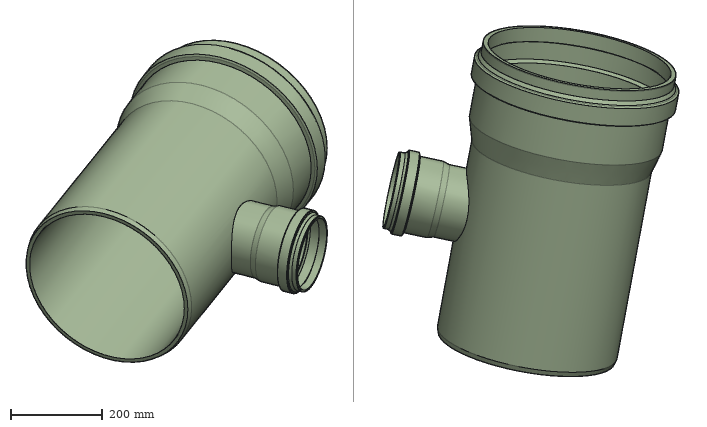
import cadquery as cq
import math

main_length = 670.0
overall_width = 585.0
pipe_diameter = 400.0
pipe_bore = 375.0
spigot_end_diameter = 392.5
spigot_chamfer_length = 11.5

branch_tilt = 2.5
branch_start_y = 286.0
branch_pipe_diameter = 163.0
branch_bore = 150.0

main_socket = {
    "diameter": 429.5,
    "bore": 407.0,
    "mouth_diameter": 429.0,
    "mouth_chamfer_length": 2.0,
    "collar_diameter": 455.0,
    "collar_rim_diameter": 445.5,
    "collar_rim_length": 3.0,
    "collar_shoulder_diameter": 439.5,
    "groove_diameter": 432.0,
    "lip_depth": 24.0,
    "shoulder_depth": 33.0,
    "collar_edge_depth": 37.5,
    "collar_back_depth": 78.0,
    "collar_end_depth": 82.5,
    "taper_start_depth": 173.0,
    "taper_end_depth": 225.0,
}
branch_socket = {
    "diameter": 171.5,
    "bore": 161.5,
    "mouth_diameter": 170.0,
    "mouth_chamfer_length": 2.0,
    "collar_diameter": 188.0,
    "collar_rim_diameter": 185.5,
    "collar_rim_length": 1.5,
    "collar_shoulder_diameter": 179.5,
    "groove_diameter": 179.5,
    "lip_depth": 12.0,
    "shoulder_depth": 18.0,
    "collar_edge_depth": 21.0,
    "collar_back_depth": 42.0,
    "collar_end_depth": 46.0,
    "taper_start_depth": 98.5,
    "taper_end_depth": 112.5,
}

tilt_angle = math.radians(branch_tilt)
branch_corner_x = overall_width - main_socket["collar_diameter"] / 2
mouth_overhang = branch_socket["mouth_diameter"] / 2 * math.sin(tilt_angle)
branch_length = (branch_corner_x - mouth_overhang) / math.cos(tilt_angle)


def revolve_about_y(stations, start_y, end_y):
    """Solid of revolution about Y from (diameter, y) stations listed from end_y down to start_y."""
    points = [(diameter / 2, y) for diameter, y in stations]
    profile = cq.Workplane("XY").polyline([(0, start_y), (0, end_y)] + points).close()
    return profile.revolve(360, (0, 0), (0, 1))


def socket_outside(socket, mouth_y, pipe_outer):
    """Stations of the outer surface, from the mouth to the straight pipe."""
    return [
        (socket["mouth_diameter"], mouth_y),
        (socket["diameter"], mouth_y - socket["mouth_chamfer_length"]),
        (socket["diameter"], mouth_y - socket["lip_depth"]),
        (socket["collar_shoulder_diameter"], mouth_y - socket["shoulder_depth"]),
        (socket["collar_rim_diameter"], mouth_y - socket["collar_edge_depth"] + socket["collar_rim_length"]),
        (socket["collar_diameter"], mouth_y - socket["collar_edge_depth"]),
        (socket["collar_diameter"], mouth_y - socket["collar_back_depth"]),
        (socket["collar_rim_diameter"], mouth_y - socket["collar_back_depth"] - socket["collar_rim_length"]),
        (socket["diameter"], mouth_y - socket["collar_end_depth"]),
        (socket["diameter"], mouth_y - socket["taper_start_depth"]),
        (pipe_outer, mouth_y - socket["taper_end_depth"]),
    ]


def socket_inside(socket, mouth_y, pipe_inner):
    """Stations of the inner surface, with a seal groove under the collar."""
    return [
        (socket["bore"], mouth_y),
        (socket["bore"], mouth_y - socket["shoulder_depth"]),
        (socket["groove_diameter"], mouth_y - socket["collar_edge_depth"]),
        (socket["groove_diameter"], mouth_y - socket["collar_back_depth"]),
        (socket["bore"], mouth_y - socket["collar_end_depth"]),
        (socket["bore"], mouth_y - socket["taper_start_depth"]),
        (pipe_inner, mouth_y - socket["taper_end_depth"]),
    ]


def place_branch(body):
    """Turn a body built along Y into the branch direction and move it along the main pipe."""
    turned = body.rotate((0, 0, 0), (0, 0, 1), branch_tilt - 90)
    return turned.translate((0, branch_start_y, 0))


spigot_end = [(pipe_diameter, spigot_chamfer_length), (spigot_end_diameter, 0)]
main_outer = revolve_about_y(
    socket_outside(main_socket, main_length, pipe_diameter) + spigot_end, 0, main_length
)
main_inner = revolve_about_y(
    socket_inside(main_socket, main_length, pipe_bore) + [(pipe_bore, 0)], 0, main_length
)

branch_outer = place_branch(revolve_about_y(
    socket_outside(branch_socket, branch_length, branch_pipe_diameter) + [(branch_pipe_diameter, 0)],
    0, branch_length,
))
branch_inner = place_branch(revolve_about_y(
    socket_inside(branch_socket, branch_length, branch_bore) + [(branch_bore, 0)],
    0, branch_length,
))

result = main_outer.union(branch_outer).cut(main_inner).cut(branch_inner)